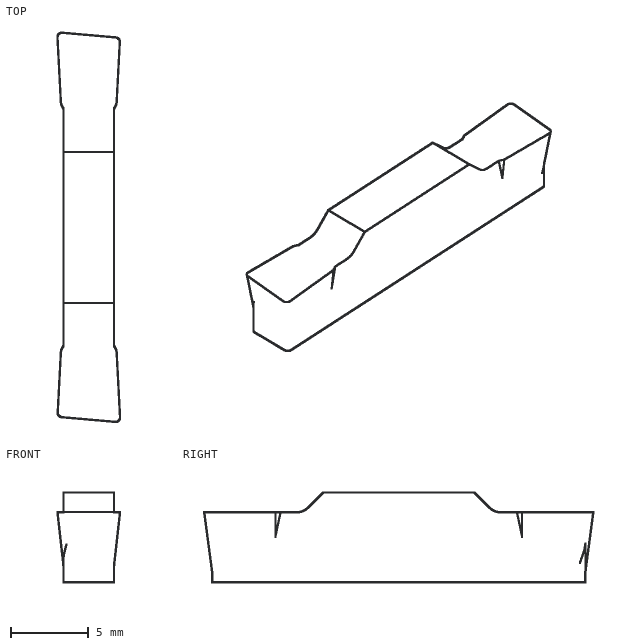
import cadquery as cq
import math

body_width = 3.26
body_length = 24.08
total_height = 5.8
shelf_height = 4.52
ridge_length = 9.75
ramp_root_radius = 1.0
corner_radius = 0.3

head_end_y = 12.4
head_half_width = 2.03
end_skew = 5.0
side_angle = 3.0
side_relief = 6.0
end_relief = 7.0
flank_inner_y = 7.95
blend_slope = 0.5
buried_y = 7.03


def tangent(degrees):
    return math.tan(math.radians(degrees))


def make_body():
    ridge_y = ridge_length / 2
    ramp_foot_y = ridge_y + total_height - shelf_height
    end_y = body_length / 2
    profile = [
        (-end_y, 0),
        (end_y, 0),
        (end_y, shelf_height),
        (ramp_foot_y, shelf_height),
        (ridge_y, total_height),
        (-ridge_y, total_height),
        (-ramp_foot_y, shelf_height),
        (-end_y, shelf_height),
    ]
    body = cq.Workplane("YZ").polyline(profile).close().extrude(body_width / 2, both=True)
    body = body.edges("|Z").fillet(corner_radius)
    for foot_y in (-ramp_foot_y, ramp_foot_y):
        foot = cq.selectors.NearestToPointSelector((0, foot_y, shelf_height))
        body = body.edges("|X").edges(foot).fillet(ramp_root_radius)
    return body


def head_outline(depth):
    """Corners of the -Y head at a given depth below the shelf."""
    side_slope = tangent(side_angle)
    skew_slope = tangent(end_skew)
    side_inset = depth * tangent(side_relief)
    end_y = head_end_y - depth * tangent(end_relief)
    flank_x = head_half_width - side_inset - side_slope * (head_end_y - flank_inner_y)
    buried_x = flank_x - blend_slope * (flank_inner_y - buried_y)

    def end_corner(side):
        x_at_end = flank_x + side_slope * (end_y - flank_inner_y)
        x = x_at_end / (1 - side * side_slope * skew_slope)
        return (side * x, -end_y - side * skew_slope * x)

    return [
        (-buried_x, -buried_y),
        (-flank_x, -flank_inner_y),
        end_corner(-1),
        end_corner(1),
        (flank_x, -flank_inner_y),
        (buried_x, -buried_y),
    ]


def make_head():
    head = (
        cq.Workplane("XY")
        .polyline(head_outline(shelf_height)).close()
        .workplane(offset=shelf_height)
        .polyline(head_outline(0)).close()
        .loft(ruled=True)
    )
    for x, y in head_outline(shelf_height / 2)[2:4]:
        corner = cq.selectors.NearestToPointSelector((x, y, shelf_height / 2))
        head = head.edges(corner).fillet(corner_radius)
    return head


head = make_head()
opposite_head = head.rotate((0, 0, 0), (0, 0, 1), 180)
result = make_body().union(head).union(opposite_head).clean()